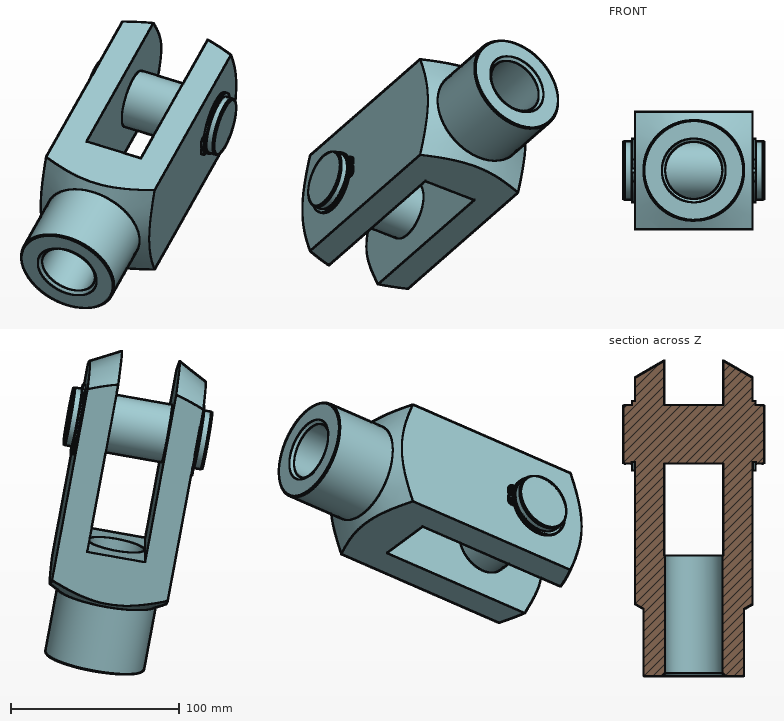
import cadquery as cq
import math

body_width = 70.0
slot_width = body_width / 2
pin_to_neck_end = 144.0
pin_to_slot_floor = pin_to_neck_end / 2
pin_to_fork_tip = 44.0
neck_diameter = 60.0
neck_length = 40.0
neck_chamfer = 0.6
bore_diameter = 34.0
bore_mouth_diameter = 38.0
cone_angle = 30.0

pin_diameter = 35.0
pin_length = 84.0
pin_chamfer_length = 1.0
pin_chamfer_depth = 0.5
groove_diameter = 33.0
groove_width = 2.0

ring_thickness = 1.5
ring_clearance = (groove_width - ring_thickness) / 2
ring_diameter = 38.0
ring_offset = 1.0
ring_gap = 2.4
lug_reach = 21.6
lug_outer_half_height = 6.5
lug_corner_radius = 2.7
lug_hole_diameter = 2.7
lug_hole_reach = 18.9

neck_end_y = -pin_to_neck_end
shoulder_y = neck_end_y + neck_length
slot_floor_y = -pin_to_slot_floor
body_half = body_width / 2
pin_radius = pin_diameter / 2
pin_half_length = pin_length / 2


def cone_rise(radius_change):
    """Axial travel of an end cone over a change in radius."""
    return radius_change * math.tan(math.radians(cone_angle))


def make_body():
    """Square bar whose two ends are turned to cones about the Y axis."""
    neck_radius = neck_diameter / 2
    tip_radius = slot_width / 2
    turned_radius = body_width
    bar_length = pin_to_fork_tip - shoulder_y
    bar = cq.Workplane("XY").box(body_width, bar_length, body_width)
    bar = bar.translate((0, shoulder_y + bar_length / 2, 0))
    envelope = (
        cq.Workplane("XY")
        .moveTo(0, shoulder_y)
        .lineTo(neck_radius, shoulder_y)
        .lineTo(turned_radius, shoulder_y + cone_rise(turned_radius - neck_radius))
        .lineTo(turned_radius, pin_to_fork_tip - cone_rise(turned_radius - tip_radius))
        .lineTo(tip_radius, pin_to_fork_tip)
        .lineTo(0, pin_to_fork_tip)
        .close()
        .revolve(360, (0, 0, 0), (0, 1, 0))
    )
    return bar.intersect(envelope)


def make_neck():
    """Round neck with a chamfered free end."""
    neck = cq.Workplane("XZ", origin=(0, shoulder_y, 0)).circle(neck_diameter / 2).extrude(neck_length)
    return neck.faces("<Y").chamfer(neck_chamfer)


def make_slot():
    """Fork slot, open at the tip."""
    slot_length = pin_to_fork_tip - slot_floor_y
    slot = cq.Workplane("XY").box(slot_width, slot_length, body_width)
    return slot.translate((0, slot_floor_y + slot_length / 2, 0))


def make_bore():
    """Bore from the neck end into the slot, with a 45 degree countersunk mouth."""
    bore_radius = bore_diameter / 2
    mouth_radius = bore_mouth_diameter / 2
    return (
        cq.Workplane("XY")
        .moveTo(0, neck_end_y)
        .lineTo(mouth_radius, neck_end_y)
        .lineTo(bore_radius, neck_end_y + mouth_radius - bore_radius)
        .lineTo(bore_radius, slot_floor_y)
        .lineTo(0, slot_floor_y)
        .close()
        .revolve(360, (0, 0, 0), (0, 1, 0))
    )


def make_pin():
    """Pin with tapered ends and a groove just outside each fork cheek."""
    groove_radius = groove_diameter / 2
    groove_end = body_half + groove_width
    half_pin = (
        cq.Workplane("XY")
        .lineTo(0, pin_radius)
        .lineTo(body_half, pin_radius)
        .lineTo(body_half, groove_radius)
        .lineTo(groove_end, groove_radius)
        .lineTo(groove_end, pin_radius)
        .lineTo(pin_half_length - pin_chamfer_length, pin_radius)
        .lineTo(pin_half_length, pin_radius - pin_chamfer_depth)
        .lineTo(pin_half_length, 0)
        .close()
        .revolve(360, (0, 0, 0), (1, 0, 0))
    )
    return half_pin.union(half_pin.mirror("YZ"))


def make_ring():
    """Retaining ring seated in the groove beside the +X cheek."""
    plane = cq.Workplane("YZ", origin=(body_half + ring_clearance, 0, 0))
    lug_height = 2 * lug_outer_half_height
    lugs = plane.center(-lug_reach / 2, 0).rect(lug_reach, lug_height).extrude(ring_thickness)
    lugs = lugs.edges("|X and <Y").fillet(lug_corner_radius)
    lug_hole_height = (ring_gap / 2 + lug_outer_half_height) / 2
    holes = (
        plane.pushPoints([(-lug_hole_reach, lug_hole_height), (-lug_hole_reach, -lug_hole_height)])
        .circle(lug_hole_diameter / 2)
        .extrude(ring_thickness)
    )
    gap = plane.center(-lug_reach / 2, 0).rect(lug_reach, ring_gap).extrude(ring_thickness)
    seat = plane.circle(groove_diameter / 2).extrude(ring_thickness)
    rim = plane.center(ring_offset, 0).circle(ring_diameter / 2).extrude(ring_thickness)
    return rim.union(lugs).cut(gap).cut(holes).cut(seat)


ring = make_ring()
clevis = make_body().union(make_neck()).cut(make_slot()).cut(make_bore())
result = clevis.union(make_pin()).union(ring).union(ring.mirror("YZ"))